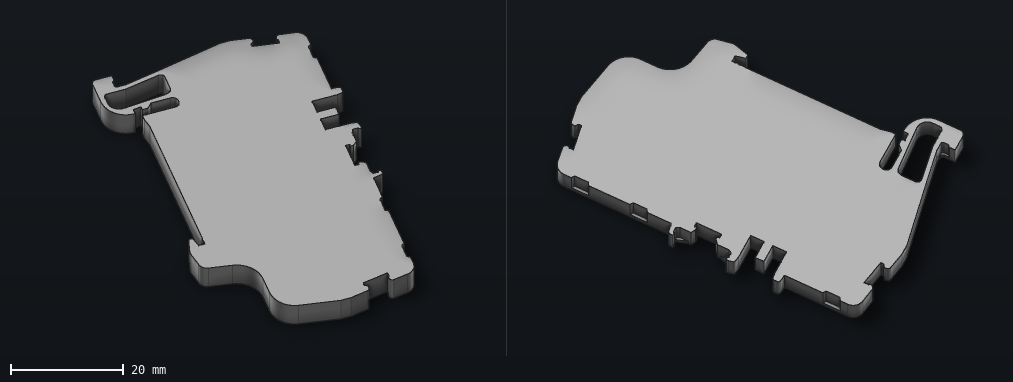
import cadquery as cq
import math


length = 64.85
height = 41.7
thickness = 5.0
web_thickness = 0.9
half_length = length / 2

top_edge = 39.75
shoulder_level = 13.3
rail_edge = 6.3
hook_bottom = 3.05

shoulder_round = 2.2
shoulder_x = half_length - 2.3
lip_x = half_length - 1.4
lip_level = 34.45
lip_round = 0.65
lip_inner_x = half_length - 2.6
notch_ceiling = 34.6
notch_floor = 29.75
notch_top_x = half_length - 3.45
notch_bottom_x = half_length - 2.6
bump_foot_x = half_length - 2.0
bump_peak_x = half_length - 1.55
bump_peak = 30.4
bump_peak_round = 0.2
bump_shoulder_x = half_length - 0.65
bump_shoulder = 30.15
bump_shoulder_round = 0.45
end_flat_top = 26.6
end_flat_bottom = 24.65

overhang_x = half_length - 2.1
overhang_round = 4.75
neck_x = 18.95
neck_round = 5.0
hook_heel_x = 17.2
hook_heel_level = 3.8
hook_heel_round = 1.7
hook_low_x = 13.0
hook_low_round = 1.3
hook_tip_x = 9.8
hook_tip_round = 0.25
hook_tip_bottom = 3.9
hook_tip_top = 4.7
hook_throat_x = 11.75
hook_throat_level = 5.1
rail_stop_x = 10.7
rail_stop_half = 0.3
rail_stop_height = 0.2

slot_right = -20.7
slot_left = -23.0
slot_top = 13.1
slot_round = 1.1
slot_lip = 5.9
lip_flat_end = slot_right + 1.0
lip_slope_end = slot_right + 2.9
catch_nose_x = -22.05
catch_level = 6.35
catch_tip = 7.45
catch_round = 0.5
catch_start = 8.3
catch_back_x = -22.75
catch_foot_x = -22.6
foot_right = -21.6
foot_top = 4.85
foot_round = 4.7
foot_left = -half_length + 0.9
foot_corner_round = 0.9
foot_ledge = 3.95
ledge_round = 0.1
ledge_dip = 3.55
dip_left = -30.35
dip_floor_left = -30.0
dip_round = 0.4
leg_x = -28.65
leg_bend_x = -29.8
leg_bend_y = 11.75
leg_end_y = 5.6
web_round = 0.85
web_reach = 1.05
web_overlap = 0.3

window_left = -29.0
window_right = -24.25
window_top = 12.7
window_bend = 5.2
window_foot_left = -27.6
window_foot_right = -23.3
window_bottom = 1.05
window_round_top_left = 0.8
window_round_top_right = 1.15
window_round_foot_right = 2.1
window_round_foot_left = 0.65

prong_top = 41.45
prong_round = 0.45
prong_shoulder = 40.2
prong_taper = 0.2
left_prong_x = -15.7
slots_left = -13.95
slots_right = -6.8
slots_floor = 35.5
tab_left = -11.2
tab_right = -9.5
tab_top = 39.0

left_hook_inner_x = -5.25
right_hook_inner_x = 5.8
right_hook_outer_x = 6.9
left_hook_crown_x = -5.6
left_hook_nib_x = -4.8
left_hook_round = 0.3
right_hook_nib_x = 5.5
right_hook_crown_x = 6.5
right_hook_round = 0.5
nib_level = 41.05
nib_round = 0.2
root_top = 40.1
root_width = 0.65
socket_left = -2.1
socket_mouth_left = -2.35
socket_right = 2.9
socket_floor = 37.6
socket_nib = 0.45
socket_nib_top = 38.9
socket_nib_bottom = 38.4
ramp_length = 2.35
ramp_rise = 0.8
ramp_overlap = 0.2

mark_centres = (-25.1, 13.35, 25.0)
mark_width = 3.5
mark_floor_width = 2.7
mark_depth = 0.6


def rounded_wire(corners):
    """Closed outline through (x, y) or (x, y, radius) corners, with tangent arcs at the radii."""
    path = None
    first_start = None
    count = len(corners)
    for i, corner in enumerate(corners):
        here = cq.Vector(corner[0], corner[1])
        radius = corner[2] if len(corner) > 2 else 0
        if radius:
            back = (cq.Vector(*corners[i - 1][:2]) - here).normalized()
            ahead = (cq.Vector(*corners[(i + 1) % count][:2]) - here).normalized()
            half_angle = back.getAngle(ahead) / 2
            setback = radius / math.tan(half_angle)
            bisector = (back + ahead).normalized()
            start = here + back * setback
            middle = here + bisector * (radius / math.sin(half_angle) - radius)
            end = here + ahead * setback
        else:
            start = here
        if path is None:
            path = cq.Workplane("XY").moveTo(start.x, start.y)
            first_start = start
        else:
            path = path.lineTo(start.x, start.y)
        if radius:
            path = path.threePointArc((middle.x, middle.y), (end.x, end.y))
    return path.lineTo(first_start.x, first_start.y).close()


def prism(corners, bottom=0.0, top=thickness):
    """Solid with the given outline between two Z levels."""
    return rounded_wire(corners).extrude(top - bottom).translate((0, 0, bottom))


def end_corners():
    """Right-hand end from the top edge down to the end flat."""
    return [
        (shoulder_x, top_edge, shoulder_round),
        (lip_x, lip_level, lip_round),
        (lip_inner_x, lip_level),
        (lip_inner_x, notch_ceiling),
        (notch_top_x, notch_ceiling),
        (notch_bottom_x, notch_floor),
        (bump_foot_x, notch_floor),
        (bump_peak_x, bump_peak, bump_peak_round),
        (bump_shoulder_x, bump_shoulder, bump_shoulder_round),
        (half_length, end_flat_top),
        (half_length, end_flat_bottom),
    ]


def mirrored(corners):
    """The same corners on the other end, in reverse order so the outline keeps going round."""
    return [(-corner[0], *corner[1:]) for corner in reversed(corners)]


def body():
    """Plate outline: right end, overhang, rail hook, rail edge, spring foot, left end."""
    overhang_and_hook = [
        (overhang_x, shoulder_level, overhang_round),
        (neck_x, shoulder_level, neck_round),
        (hook_heel_x, hook_heel_level, hook_heel_round),
        (hook_low_x, hook_bottom, hook_low_round),
        (hook_tip_x, hook_tip_bottom, hook_tip_round),
        (hook_tip_x, hook_tip_top),
        (hook_throat_x, hook_throat_level),
        (hook_throat_x, rail_edge),
        (rail_stop_x + rail_stop_half, rail_edge),
        (rail_stop_x, rail_edge - rail_stop_height),
        (rail_stop_x - rail_stop_half, rail_edge),
    ]
    spring_foot = [
        (lip_slope_end, rail_edge),
        (lip_flat_end, slot_lip),
        (slot_right, slot_lip),
        (slot_right, slot_top, slot_round),
        (slot_left, slot_top, slot_round),
        (slot_left, catch_start),
        (catch_nose_x, catch_tip, catch_round),
        (catch_nose_x, catch_level),
        (catch_back_x, catch_level),
        (catch_foot_x, foot_top),
        (foot_right, foot_top),
        (foot_right, 0, foot_round),
        (foot_left, 0, foot_corner_round),
        (foot_left, foot_ledge, ledge_round),
        (dip_left, foot_ledge),
        (dip_floor_left, ledge_dip),
        (leg_x, ledge_dip, dip_round),
        (leg_x, leg_end_y),
        (leg_bend_x, leg_bend_y),
    ]
    return prism(end_corners() + overhang_and_hook + spring_foot + mirrored(end_corners()))


def foot_window():
    """Opening that leaves the foot hanging on two thin legs."""
    return prism([
        (window_left, window_top, window_round_top_left),
        (window_right, window_top, window_round_top_right),
        (window_foot_right, window_bottom, window_round_foot_right),
        (window_foot_left, window_bottom, window_round_foot_left),
        (window_foot_left, window_bend),
    ])


def foot_web():
    """Thin fillet in the corner between the leg and the foot."""
    web_top = foot_ledge + web_reach
    web_bottom = ledge_dip - web_overlap
    return prism([
        (dip_left, web_bottom),
        (leg_x + web_overlap, web_bottom),
        (leg_x + web_overlap, web_top),
        (leg_x, web_top),
        (leg_x, foot_ledge, web_round),
        (dip_left, foot_ledge),
    ], top=web_thickness)


def left_prong():
    """Rounded finger standing beside the contact slots."""
    return prism([
        (left_prong_x, slots_floor),
        (left_prong_x, prong_shoulder),
        (left_prong_x + prong_taper, prong_top, prong_round),
        (slots_left - prong_taper, prong_top, prong_round),
        (slots_left, prong_shoulder),
        (slots_left, slots_floor),
    ])


def contact_slots():
    """Two slots side by side, with a short tab standing between them."""
    return prism([
        (slots_left, slots_floor),
        (tab_left, slots_floor),
        (tab_left, tab_top),
        (tab_right, tab_top),
        (tab_right, slots_floor),
        (slots_right, slots_floor),
        (slots_right, height),
        (slots_left, height),
    ])


def left_hook():
    """Hook on the right wall of the contact slots, its nib facing the socket."""
    return prism([
        (slots_right, slots_floor),
        (slots_right, prong_shoulder),
        (slots_right + prong_taper, prong_top, left_hook_round),
        (left_hook_crown_x, height),
        (left_hook_nib_x, height, nib_round),
        (left_hook_inner_x, nib_level),
        (left_hook_inner_x, root_top),
        (left_hook_inner_x + root_width, top_edge),
        (left_hook_inner_x + root_width, slots_floor),
    ])


def right_hook():
    """Hook on the far side of the socket, its nib facing the left hook."""
    return prism([
        (right_hook_inner_x - root_width, slots_floor),
        (right_hook_inner_x - root_width, top_edge),
        (right_hook_inner_x, root_top),
        (right_hook_inner_x, nib_level),
        (right_hook_nib_x, nib_level),
        (right_hook_nib_x, height),
        (right_hook_crown_x, height, right_hook_round),
        (right_hook_outer_x, top_edge),
        (right_hook_outer_x, slots_floor),
    ])


def hook_ramp(hook_x, direction):
    """Thin sloped web from a hook down to the top edge beside the socket."""
    return prism([
        (hook_x - direction * ramp_overlap, top_edge - ramp_overlap),
        (hook_x + direction * ramp_length, top_edge - ramp_overlap),
        (hook_x + direction * ramp_length, top_edge),
        (hook_x, top_edge + ramp_rise),
        (hook_x - direction * ramp_overlap, top_edge + ramp_rise),
    ], top=web_thickness)


def socket():
    """Open pocket with a small nib on each side wall."""
    return prism([
        (socket_left, socket_floor),
        (socket_right, socket_floor),
        (socket_right, socket_nib_bottom),
        (socket_right - socket_nib, socket_nib_bottom),
        (socket_right - socket_nib, socket_nib_top),
        (socket_right, top_edge),
        (socket_mouth_left, top_edge),
        (socket_left + socket_nib, socket_nib_top),
        (socket_left + socket_nib, socket_nib_bottom),
        (socket_left, socket_nib_bottom),
    ])


def marking_recess(centre):
    """Shallow recess with sloped ends, closed at the bottom by the thin layer."""
    return prism([
        (centre - mark_width / 2, top_edge),
        (centre - mark_floor_width / 2, top_edge - mark_depth),
        (centre + mark_floor_width / 2, top_edge - mark_depth),
        (centre + mark_width / 2, top_edge),
    ], bottom=web_thickness)


result = body().cut(foot_window()).union(foot_web())
result = result.cut(contact_slots()).cut(socket())
result = result.union(left_prong())
result = result.union(left_hook()).union(right_hook())
result = result.union(hook_ramp(left_hook_inner_x, 1)).union(hook_ramp(right_hook_inner_x, -1))
for mark_centre in mark_centres:
    result = result.cut(marking_recess(mark_centre))